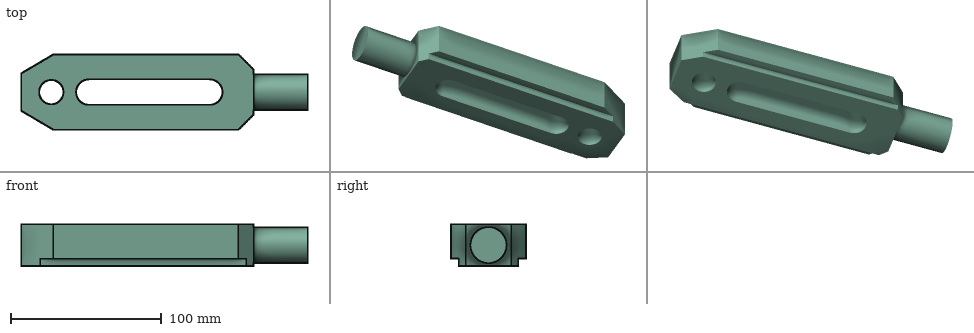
import cadquery as cq

total_length = 190.0
width = 50.0
height = 28.0
pin_length = 36.0
pin_diameter = 24.0

nose_cut_length = 21.3
nose_width = 24.9
tail_cut = 10.0

step_height = 5.0
step_depth = 5.1

hole_diameter = 16.0
hole_from_nose = 20.0
slot_width = 16.7
slot_length = 96.9
slot_from_nose = 36.5

nose_x = -total_length / 2
tail_x = total_length / 2 - pin_length
body_length = tail_x - nose_x
half_width = width / 2
bottom_z = -height / 2


def make_body():
    """Plate with long tapered cuts at the nose and short ones at the tail."""
    outline = [
        (nose_x, -nose_width / 2),
        (nose_x + nose_cut_length, -half_width),
        (tail_x - tail_cut, -half_width),
        (tail_x, -half_width + tail_cut),
        (tail_x, half_width - tail_cut),
        (tail_x - tail_cut, half_width),
        (nose_x + nose_cut_length, half_width),
        (nose_x, nose_width / 2),
    ]
    return cq.Workplane("XY", origin=(0, 0, bottom_z)).polyline(outline).close().extrude(height)


def make_side_step(side):
    """Strip removed from the lower edge of one side; side is -1 or 1."""
    center_x = (nose_x + tail_x) / 2
    center_y = side * (half_width - step_depth / 2)
    return (
        cq.Workplane("XY", origin=(center_x, center_y, bottom_z))
        .rect(body_length, step_depth)
        .extrude(step_height)
    )


def make_openings():
    """Round hole near the nose and the long slot behind it."""
    base = cq.Workplane("XY", origin=(0, 0, bottom_z))
    hole = base.center(nose_x + hole_from_nose, 0).circle(hole_diameter / 2).extrude(height)
    slot_center_x = nose_x + slot_from_nose + slot_length / 2
    slot = base.center(slot_center_x, 0).slot2D(slot_length, slot_width).extrude(height)
    return hole.union(slot)


def make_pin():
    """Round pin standing out of the tail face, at mid-height."""
    return cq.Workplane("YZ", origin=(tail_x, 0, 0)).circle(pin_diameter / 2).extrude(pin_length)


result = make_body().cut(make_openings())
for side in (-1, 1):
    result = result.cut(make_side_step(side))
result = result.union(make_pin())